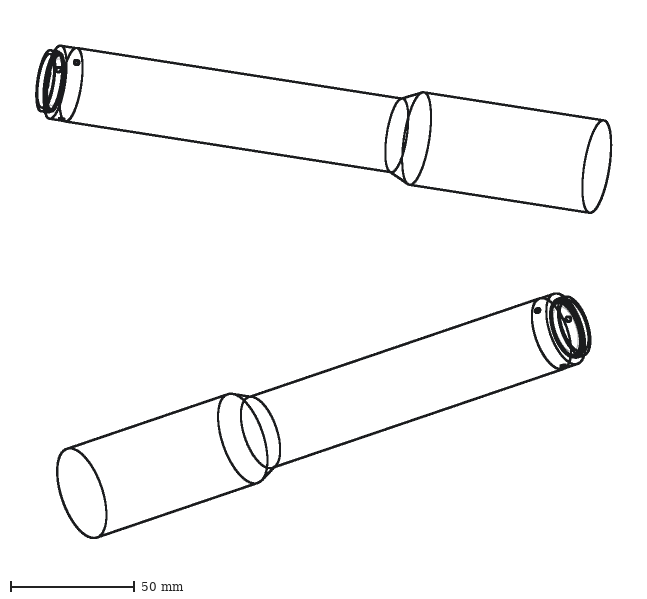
import cadquery as cq
import math

total_length = 234.5
x_start = -total_length / 2
nose_length = 4.0
collar_length = 6.8
taper_start = 149.3
taper_length = 8.5

nose_diameter = 25.0
collar_diameter = 30.0
body_diameter = 30.2
head_diameter = 38.0

groove_width = 1.0
groove_depth = 0.5

recess_diameter = 22.0
recess_depth = 4.0
cone_diameter = 19.2
cone_height = 2.8

screw_count = 3
screw_first_angle = 129.0
screw_diameter = 2.0
screw_depth = 0.7
screw_x = 8.5


def axial_cylinder(start, length, diameter):
    """Cylinder around X, starting a given distance behind the nose face."""
    return cq.Workplane("YZ", origin=(x_start + start, 0, 0)).circle(diameter / 2).extrude(length)


def ring_groove(start, width, depth, diameter):
    """Ring that cuts a groove of the given depth into a diameter."""
    outer = axial_cylinder(start, width, diameter)
    return outer.cut(axial_cylinder(start, width, diameter - 2 * depth))


def outer_body():
    """Stepped and tapered solid of revolution around X."""
    collar_end = nose_length + collar_length
    taper_end = taper_start + taper_length
    stations = [
        (0, 0),
        (0, nose_diameter / 2),
        (nose_length, nose_diameter / 2),
        (nose_length, collar_diameter / 2),
        (collar_end, collar_diameter / 2),
        (collar_end, body_diameter / 2),
        (taper_start, body_diameter / 2),
        (taper_end, head_diameter / 2),
        (total_length, head_diameter / 2),
        (total_length, 0),
    ]
    profile = cq.Workplane("XY", origin=(x_start, 0, 0)).polyline(stations).close()
    return profile.revolve(360, (0, 0, 0), (1, 0, 0))


def recess_cone():
    """Cone with its base on the recess floor and its tip towards -X."""
    cone = cq.Solid.makeCone(
        cone_diameter / 2,
        0,
        cone_height,
        pnt=cq.Vector(x_start + recess_depth, 0, 0),
        dir=cq.Vector(-1, 0, 0),
    )
    return cq.Workplane(obj=cone)


def screw_hole(angle):
    """Blind radial hole reaching inwards from the collar surface."""
    radial = cq.Vector(0, math.cos(math.radians(angle)), math.sin(math.radians(angle)))
    bottom = cq.Vector(x_start + screw_x, 0, 0) + radial * (collar_diameter / 2 - screw_depth)
    return cq.Workplane(obj=cq.Solid.makeCylinder(screw_diameter / 2, 2 * screw_depth, bottom, radial))


result = outer_body()
result = result.cut(ring_groove(nose_length - groove_width, groove_width, groove_depth, nose_diameter))
result = result.cut(axial_cylinder(0, recess_depth, recess_diameter))
result = result.union(recess_cone())
for index in range(screw_count):
    result = result.cut(screw_hole(screw_first_angle + index * 360 / screw_count))